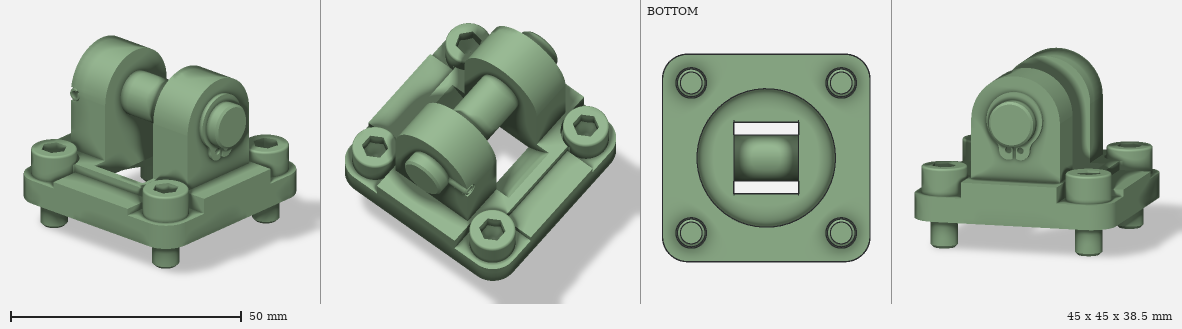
import cadquery as cq
import math

PLATE_SIZE = 45.0
PLATE_HEIGHT = 9.0
CORNER_RADIUS = 5.5
STRIP_HEIGHT = 7.0
STRIP_INNER_Y = 15.52
SEAT_HEIGHT = 5.5
SCREW_PITCH = 32.5
CLEARANCE_HOLE_DIAMETER = 6.6
SPIGOT_BORE_DIAMETER = 30.0
SPIGOT_BORE_DEPTH = 5.0

LUG_GAP = 14.0
LUG_THICKNESS = 10.0
LUG_RADIUS = 10.0
PIVOT_HEIGHT = 22.0
SWING_RADIUS = 18.68

PIN_DIAMETER = 10.0
PIN_START_X = -20.5
PIN_END_X = 21.0
PIN_CHAMFER = 0.5

RING_THICKNESS = 1.0
RING_RADIUS = 6.25
RING_RISE = 0.35
RING_BORE_DIAMETER = 9.5
RING_GAP = 0.8
EAR_RADIUS = 2.05
EAR_Y = 1.35
EAR_DROP = 6.2
EAR_HOLE_DIAMETER = 1.5
EAR_BLEND_RADIUS = 2.7

LOCK_DIAMETER = 3.0
LOCK_INSET = 1.0
LOCK_END_Y = -9.9
LOCK_CHAMFER_LENGTH = 0.5
LOCK_CHAMFER_DEPTH = 0.22
LOCK_BORE_DIAMETER = 1.8
LOCK_BORE_DEPTH = 3.0
LOCK_BORE_TIP = 0.55
LOCK_SLIT_WIDTH = 0.55
LOCK_SLIT_ANGLE = 45.0
LOCK_SLOT_WIDTH = 3.15

SHANK_DIAMETER = 6.0
SHANK_END_Z = -6.52
SHANK_CHAMFER = 0.65
HEAD_DIAMETER = 10.0
HEAD_HEIGHT = 6.0
HEAD_FILLET = 0.5
SOCKET_ACROSS_FLATS = 5.0
SOCKET_DEPTH = 3.0
SOCKET_TIP_ANGLE = 30.0
TURNED_SOCKET_ANGLE = 20.0

LUG_INNER_X = LUG_GAP / 2
LUG_OUTER_X = LUG_INNER_X + LUG_THICKNESS
SCREW_OFFSET = SCREW_PITCH / 2
POCKET_SIZE = PLATE_SIZE / 2 - SCREW_OFFSET + CORNER_RADIUS


def cylinder_along_x(start_x, length, radius, y, z):
    plane = cq.Plane(origin=(start_x, y, z), xDir=(0, 1, 0), normal=(1, 0, 0))
    return cq.Workplane(plane).circle(radius).extrude(length)


def box_between(low, high):
    size = [b - a for a, b in zip(low, high)]
    return cq.Workplane("XY").box(*size, centered=False).translate(low)


def make_plate():
    half = PLATE_SIZE / 2
    plate = (
        cq.Workplane("XY")
        .rect(PLATE_SIZE, PLATE_SIZE)
        .extrude(PLATE_HEIGHT)
        .edges("|Z")
        .fillet(CORNER_RADIUS)
    )

    strip_half_length = half - POCKET_SIZE
    for low_y, high_y in ((-half, -STRIP_INNER_Y), (STRIP_INNER_Y, half)):
        plate = plate.cut(box_between(
            (-strip_half_length, low_y, STRIP_HEIGHT),
            (strip_half_length, high_y, PLATE_HEIGHT),
        ))

    pocket_centre = half - POCKET_SIZE / 2
    pockets = (
        cq.Workplane("XY", origin=(0, 0, SEAT_HEIGHT))
        .rect(2 * pocket_centre, 2 * pocket_centre, forConstruction=True)
        .vertices()
        .rect(POCKET_SIZE, POCKET_SIZE)
        .extrude(PLATE_HEIGHT - SEAT_HEIGHT)
    )
    inner_edges = cq.selectors.BoxSelector(
        (-SCREW_OFFSET, -SCREW_OFFSET, 0),
        (SCREW_OFFSET, SCREW_OFFSET, PLATE_HEIGHT),
    )
    pockets = pockets.edges("|Z").edges(inner_edges).fillet(CORNER_RADIUS)
    plate = plate.cut(pockets)

    clearance_holes = (
        cq.Workplane("XY")
        .rect(SCREW_PITCH, SCREW_PITCH, forConstruction=True)
        .vertices()
        .circle(CLEARANCE_HOLE_DIAMETER / 2)
        .extrude(PLATE_HEIGHT)
    )
    spigot_bore = cq.Workplane("XY").circle(SPIGOT_BORE_DIAMETER / 2).extrude(SPIGOT_BORE_DEPTH)
    swing_relief = cylinder_along_x(-LUG_INNER_X, LUG_GAP, SWING_RADIUS, 0, PIVOT_HEIGHT)
    return plate.cut(clearance_holes).cut(spigot_bore).cut(swing_relief)


def make_lug(start_x):
    plane = cq.Plane(origin=(start_x, 0, 0), xDir=(0, 1, 0), normal=(1, 0, 0))
    return (
        cq.Workplane(plane)
        .moveTo(-LUG_RADIUS, PLATE_HEIGHT)
        .lineTo(LUG_RADIUS, PLATE_HEIGHT)
        .lineTo(LUG_RADIUS, PIVOT_HEIGHT)
        .threePointArc((0, PIVOT_HEIGHT + LUG_RADIUS), (-LUG_RADIUS, PIVOT_HEIGHT))
        .close()
        .extrude(LUG_THICKNESS)
    )


def make_lock_slot():
    """Round-ended slot in the -X lug, open to its outer face and its -Y side."""
    axis_x = -LUG_OUTER_X + LOCK_INSET
    round_end = (
        cq.Workplane("XZ", origin=(axis_x, 0, PIVOT_HEIGHT))
        .circle(LOCK_SLOT_WIDTH / 2)
        .extrude(LUG_RADIUS)
    )
    open_side = box_between(
        (-LUG_OUTER_X, -LUG_RADIUS, PIVOT_HEIGHT - LOCK_SLOT_WIDTH / 2),
        (axis_x, 0, PIVOT_HEIGHT + LOCK_SLOT_WIDTH / 2),
    )
    return round_end.union(open_side)


def make_lock_pin():
    """Pin with a bore in its outer end and a slit through one side of the bore wall."""
    radius = LOCK_DIAMETER / 2
    bore_radius = LOCK_BORE_DIAMETER / 2
    bore_end_y = LOCK_END_Y + LOCK_BORE_DEPTH
    profile = [
        (0, 0),
        (radius, 0),
        (radius, LOCK_END_Y + LOCK_CHAMFER_LENGTH),
        (radius - LOCK_CHAMFER_DEPTH, LOCK_END_Y),
        (bore_radius, LOCK_END_Y),
        (bore_radius, bore_end_y),
        (0, bore_end_y + LOCK_BORE_TIP),
    ]
    pin = cq.Workplane("XY").polyline(profile).close().revolve(360, (0, 0), (0, 1))
    slit = box_between(
        (0, LOCK_END_Y, -LOCK_SLIT_WIDTH / 2),
        (LOCK_DIAMETER, bore_end_y, LOCK_SLIT_WIDTH / 2),
    )
    slit = slit.rotate((0, 0, 0), (0, 1, 0), -LOCK_SLIT_ANGLE)
    return pin.cut(slit).translate((-LUG_OUTER_X + LOCK_INSET, 0, PIVOT_HEIGHT))


def make_pivot_pin():
    pin = cylinder_along_x(PIN_START_X, PIN_END_X - PIN_START_X, PIN_DIAMETER / 2, 0, PIVOT_HEIGHT)
    pin = pin.faces("<X or >X").chamfer(PIN_CHAMFER)
    groove = cylinder_along_x(LUG_OUTER_X, RING_THICKNESS, PIN_DIAMETER / 2, 0, PIVOT_HEIGHT)
    core = cylinder_along_x(LUG_OUTER_X, RING_THICKNESS, RING_BORE_DIAMETER / 2, 0, PIVOT_HEIGHT)
    return pin.cut(groove.cut(core))


def make_retaining_ring():
    def disc(radius, y, z):
        return cylinder_along_x(LUG_OUTER_X, RING_THICKNESS, radius, y, z)

    ear_z = PIVOT_HEIGHT - EAR_DROP
    ring = disc(RING_RADIUS, 0, PIVOT_HEIGHT + RING_RISE)
    for ear_y in (-EAR_Y, EAR_Y):
        ring = ring.union(disc(EAR_RADIUS, ear_y, ear_z))

    notches = cq.selectors.BoxSelector(
        (LUG_OUTER_X, -RING_RADIUS, ear_z),
        (LUG_OUTER_X + RING_THICKNESS, RING_RADIUS, PIVOT_HEIGHT - EAR_RADIUS),
    )
    ring = ring.edges("|X").edges(notches).fillet(EAR_BLEND_RADIUS)

    for ear_y in (-EAR_Y, EAR_Y):
        ring = ring.cut(disc(EAR_HOLE_DIAMETER / 2, ear_y, ear_z))
    gap = box_between(
        (LUG_OUTER_X, -RING_GAP / 2, ear_z - 2 * EAR_RADIUS),
        (LUG_OUTER_X + RING_THICKNESS, RING_GAP / 2, PIVOT_HEIGHT),
    )
    bore = disc(RING_BORE_DIAMETER / 2, 0, PIVOT_HEIGHT)
    return ring.cut(gap).cut(bore)


def make_socket():
    """Hexagonal socket with a conical floor, its mouth at the top of the screw head."""
    corner_radius = SOCKET_ACROSS_FLATS / math.sqrt(3)
    tip_depth = SOCKET_DEPTH + corner_radius * math.tan(math.radians(SOCKET_TIP_ANGLE))
    top_z = SEAT_HEIGHT + HEAD_HEIGHT
    hexagon = (
        cq.Workplane("XY", origin=(0, 0, top_z - tip_depth))
        .polygon(6, 2 * corner_radius)
        .extrude(tip_depth)
    )
    pointed_bore = (
        cq.Workplane("XZ")
        .polyline([
            (0, top_z),
            (corner_radius, top_z),
            (corner_radius, top_z - SOCKET_DEPTH),
            (0, top_z - tip_depth),
        ])
        .close()
        .revolve(360, (0, 0), (0, 1))
    )
    return hexagon.intersect(pointed_bore)


def make_screw(socket_angle):
    shank = (
        cq.Workplane("XY", origin=(0, 0, SHANK_END_Z))
        .circle(SHANK_DIAMETER / 2)
        .extrude(SEAT_HEIGHT - SHANK_END_Z)
        .faces("<Z")
        .chamfer(SHANK_CHAMFER)
    )
    head = (
        cq.Workplane("XY", origin=(0, 0, SEAT_HEIGHT))
        .circle(HEAD_DIAMETER / 2)
        .extrude(HEAD_HEIGHT)
        .faces(">Z")
        .edges()
        .fillet(HEAD_FILLET)
    )
    socket = make_socket().rotate((0, 0, 0), (0, 0, 1), socket_angle)
    return shank.union(head).cut(socket)


result = make_plate()
result = result.union(make_lug(LUG_INNER_X))
result = result.union(make_lug(-LUG_OUTER_X).cut(make_lock_slot()))
result = result.union(make_pivot_pin())
result = result.union(make_lock_pin())
result = result.union(make_retaining_ring())

for side_x in (-1, 1):
    for side_y in (-1, 1):
        is_turned = side_x > 0 and side_y > 0
        screw = make_screw(TURNED_SOCKET_ANGLE if is_turned else 0)
        result = result.union(screw.translate((side_x * SCREW_OFFSET, side_y * SCREW_OFFSET, 0)))